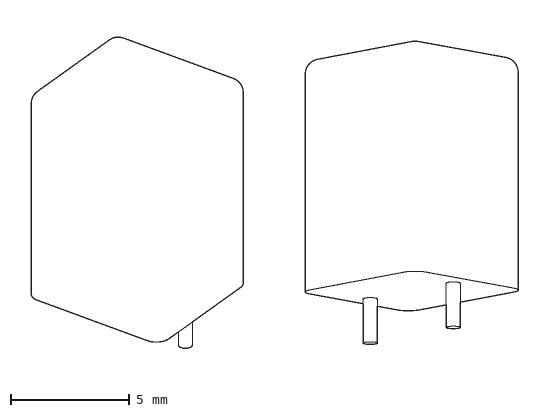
import cadquery as cq

case_length = 7.0
case_width = 6.5
case_height = 10.0
edge_radius = 0.65

lead_diameter = 0.6
lead_pitch = 5.0
lead_length = 1.9


def make_case():
    """Block with rounded vertical edges and top rim; the bottom rim stays sharp."""
    block = cq.Workplane("XY").box(case_length, case_width, case_height, centered=(True, True, False))
    return block.edges("|Z or >Z").fillet(edge_radius)


def make_leads():
    """Pair of straight leads hanging from the bottom face."""
    return (
        cq.Workplane("XY")
        .pushPoints([(-lead_pitch / 2, 0), (lead_pitch / 2, 0)])
        .circle(lead_diameter / 2)
        .extrude(-lead_length)
    )


result = make_case().union(make_leads())